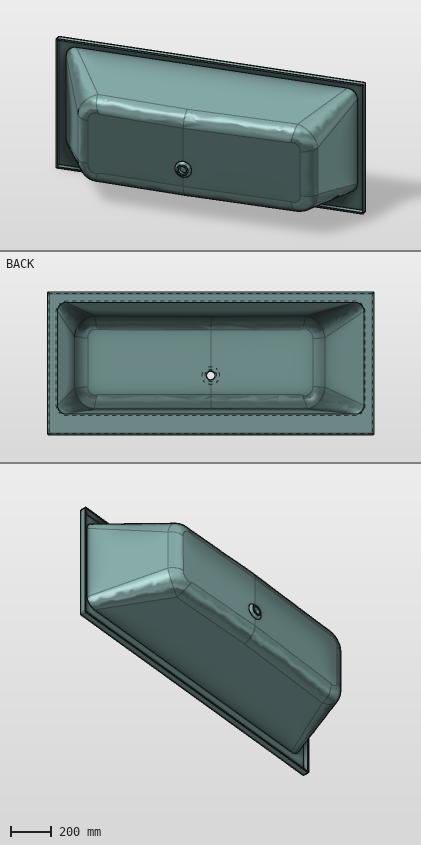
import cadquery as cq
import math


rim_length = 1600.0
rim_width = 700.0
rim_depth = 35.0
edge_radius = 10.0

wall = 8.0

left_at_rim = -755.0
right_at_rim = 757.0
low_at_rim = -256.0
high_at_rim = 305.0
corner_at_rim = 53.0

left_lean = 0.52
right_lean = 0.24
low_lean = 0.08
high_lean = 0.19
corner_growth = 0.16

floor_depth = 425.0
floor_fall = 0.024
floor_radius = 77.0

total_depth = 438.0
drain_z = -60.0
drain_base_radius = 43.0
drain_tip_radius = 29.0
drain_hole_radius = 20.0

loft_depth = 480.0


def bowl_section(depth, inset):
    """Rounded rectangle across the bowl, with its walls moved inward by inset along their normals."""
    drop = depth - wall

    def shift(lean):
        return lean * drop + inset * math.hypot(1, lean)

    left = left_at_rim + shift(left_lean)
    right = right_at_rim - shift(right_lean)
    low = low_at_rim + shift(low_lean)
    high = high_at_rim - shift(high_lean)
    radius = corner_at_rim + corner_growth * drop - inset
    centre = cq.Vector((left + right) / 2, (low + high) / 2, depth)
    outline = cq.Sketch().rect(right - left, high - low).vertices().fillet(radius)
    return outline.moved(cq.Location(centre))


def floor_edges(low_line, end_depth):
    """Selector for the edges around the floor, leaving out the low line along X = 0."""
    reach = rim_length / 2
    margin = 16.0
    around_floor = cq.selectors.BoxSelector(
        (-reach, -low_line - margin, -reach),
        (reach, -end_depth + margin, reach),
    )
    around_low_line = cq.selectors.BoxSelector(
        (-margin, -low_line - margin, -reach),
        (margin, -low_line + margin, reach),
    )
    return around_floor - around_low_line


def bowl_body(top_depth, inset):
    """Solid filling the bowl from top_depth down to the floor, shrunk by inset."""
    sections = [bowl_section(top_depth, inset), bowl_section(loft_depth, inset)]
    walls = cq.Workplane("XZ").placeSketch(*sections).loft(ruled=True)

    reach = rim_length / 2
    low_line = floor_depth - inset
    end_depth = low_line - floor_fall * reach
    above_floor = (
        cq.Workplane("XY")
        .polyline([(-reach, 0), (reach, 0), (reach, -end_depth), (0, -low_line), (-reach, -end_depth)])
        .close()
        .extrude(rim_width / 2, both=True)
    )
    body = walls.intersect(above_floor)
    return body.edges(floor_edges(low_line, end_depth)).fillet(floor_radius - inset)


def rim():
    """Flange and skirt, hollow on the -Y side."""
    block = cq.Workplane("XY").box(rim_length, rim_depth, rim_width).translate((0, -rim_depth / 2, 0))
    block = block.edges("|Y").fillet(edge_radius)
    block = block.faces(">Y").edges().fillet(edge_radius)
    recess = (
        cq.Workplane("XY")
        .box(rim_length - 2 * wall, rim_depth, rim_width - 2 * wall)
        .translate((0, -rim_depth / 2 - wall, 0))
    )
    return block.cut(recess)


def drain_boss():
    """Cone outside the floor, on a short cylinder sunk halfway into the floor wall."""
    outward = cq.Vector(0, -1, 0)
    sink = wall / 2
    root_base = cq.Vector(0, sink - floor_depth, drain_z)
    cone_base = cq.Vector(0, -floor_depth, drain_z)
    root = cq.Solid.makeCylinder(drain_base_radius, sink, root_base, outward)
    cone = cq.Solid.makeCone(
        drain_base_radius, drain_tip_radius, total_depth - floor_depth, cone_base, outward
    )
    return cq.Workplane(root).union(cq.Workplane(cone))


def drain_hole():
    """Straight hole through the floor and the drain boss."""
    return cq.Workplane("XZ").center(0, drain_z).circle(drain_hole_radius).extrude(total_depth)


bowl = bowl_body(wall / 2, 0)
hollow = bowl_body(0, wall)

tub = rim().union(bowl).union(drain_boss()).cut(hollow).cut(drain_hole())
result = tub.solids()